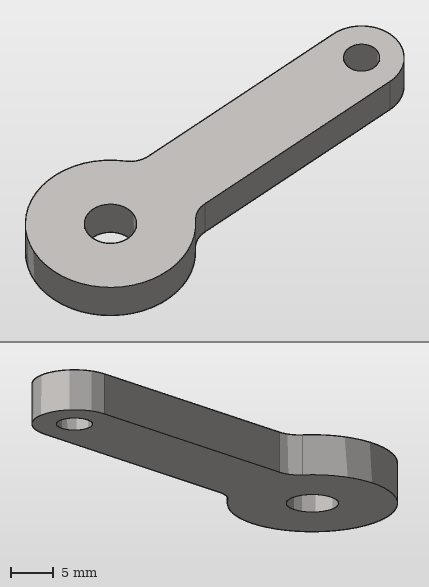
import cadquery as cq

total_length = 54.4
thickness = 5.0
hub_radius = 10.0
arm_end_radius = 5.0
hub_hole_diameter = 6.15
arm_hole_diameter = 4.25
neck_fillet_radius = 3.25

arm_width = 2 * arm_end_radius
hole_spacing = total_length - hub_radius - arm_end_radius


def make_blank():
    """Round hub joined to a straight arm with a rounded end."""
    hub = cq.Workplane("XY").circle(hub_radius).extrude(thickness)
    arm = (
        cq.Workplane("XY")
        .moveTo(-arm_end_radius, 0)
        .lineTo(-arm_end_radius, hole_spacing)
        .threePointArc((0, hole_spacing + arm_end_radius), (arm_end_radius, hole_spacing))
        .lineTo(arm_end_radius, 0)
        .close()
        .extrude(thickness)
    )
    return hub.union(arm)


def fillet_neck(body):
    """Round the two inside corners where the arm meets the hub."""
    neck_y = (hub_radius**2 - arm_end_radius**2) ** 0.5
    margin = 0.05
    neck_box = cq.selectors.BoxSelector(
        (-arm_width, neck_y - margin, -margin),
        (arm_width, neck_y + margin, thickness + margin),
    )
    return body.edges("|Z").edges(neck_box).fillet(neck_fillet_radius)


def drill(body, y, diameter):
    """Cut a through hole on the centreline at the given Y."""
    hole = cq.Workplane("XY").center(0, y).circle(diameter / 2).extrude(thickness)
    return body.cut(hole)


result = fillet_neck(make_blank())
result = drill(result, 0, hub_hole_diameter)
result = drill(result, hole_spacing, arm_hole_diameter)